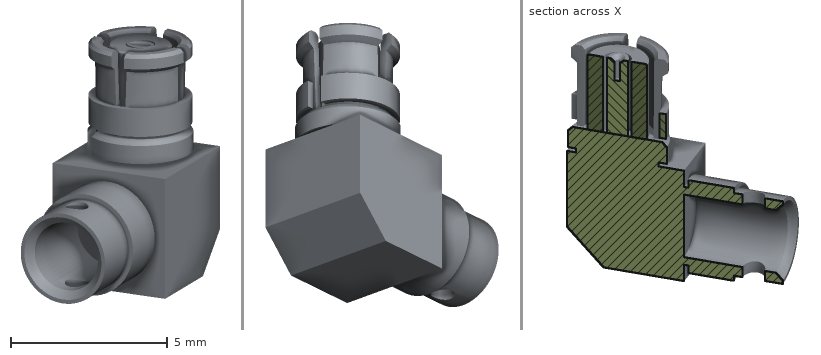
import cadquery as cq

TOTAL_LENGTH = 7.37

BLOCK_SIZE = 4.01
BLOCK_BACK = 1.72
BLOCK_FRONT = BLOCK_BACK - BLOCK_SIZE
BLOCK_CHAMFER = 1.26

JACK_TOP = 7.76
NECK_RADIUS = 1.42
FINGER_RADIUS = 1.45
FLANGE_RADIUS = 1.67
FLANGE_TOP_CHAMFER = 0.12
FLANGE_BOTTOM = 7.295
FLANGE_ROOT = 7.13
JACK_BORE_RADIUS = 1.2
BORE_CHAMFER = 0.12

SHOULDER_RADIUS = 1.7
SHOULDER_BOTTOM = 4.135
SHOULDER_TOP = 4.91
SHOULDER_CHAMFER = 0.17
NOTCH_WIDTH = 0.535
NOTCH_ANGLE = 221.0

BORE_FLOOR = SHOULDER_TOP
SLOT_TOP_WIDTH = 0.465
SLOT_FLOOR_WIDTH = 0.255

COLLAR_RADIUS = 1.67
COLLAR_BOTTOM = 5.04
COLLAR_TOP = 5.945
COLLAR_GAP = 0.54

BARREL_HEIGHT = BLOCK_SIZE / 2
BARREL_COLLAR_RADIUS = 1.69
BARREL_COLLAR_BACK = -2.41
BARREL_COLLAR_FRONT = -3.99
BARREL_RADIUS = 1.505
BARREL_END = BLOCK_BACK - TOTAL_LENGTH
BARREL_BORE_RADIUS = 1.125
BARREL_MOUTH_RADIUS = 1.37
CROSS_HOLE_RADIUS = 0.38
CROSS_HOLE_Y = -4.65

INSULATOR_RADIUS = 1.025
INSULATOR_TOP = 7.635
INSULATOR_CHAMFER = 0.055
INSULATOR_HOLE_RADIUS = 0.47

CONTACT_HALF_SIZES = (0.465, 0.365)
MOUTH_HALF_SIZES = (0.365, 0.24)
SOCKET_HALF_SIZES = (0.18, 0.085)
MOUTH_DEPTH = 0.12
SOCKET_DEPTH = 0.775


def revolve_about_z(points):
    """Solid of revolution from (radius, height) points."""
    return cq.Workplane("XZ").polyline(points).close().revolve(360, (0, 0), (0, 1))


def make_block():
    block = cq.Workplane("XY").box(BLOCK_SIZE, BLOCK_SIZE, BLOCK_SIZE)
    block = block.edges(">Y and <Z").chamfer(BLOCK_CHAMFER)
    return block.translate((0, (BLOCK_BACK + BLOCK_FRONT) / 2, BLOCK_SIZE / 2))


def finger_radius_at(height):
    """Outer radius of the fingers, which spread evenly from the neck to the flange."""
    spread = (height - BORE_FLOOR) / (FLANGE_ROOT - BORE_FLOOR)
    return NECK_RADIUS + spread * (FINGER_RADIUS - NECK_RADIUS)


def make_shoulder():
    shoulder = revolve_about_z([
        (0, SHOULDER_BOTTOM),
        (SHOULDER_RADIUS, SHOULDER_BOTTOM),
        (SHOULDER_RADIUS, SHOULDER_TOP - SHOULDER_CHAMFER),
        (SHOULDER_RADIUS - SHOULDER_CHAMFER, SHOULDER_TOP),
        (0, SHOULDER_TOP),
    ])
    notch = (
        cq.Workplane("XY", origin=(0, 0, SHOULDER_BOTTOM))
        .rect(SHOULDER_RADIUS * 2, NOTCH_WIDTH)
        .extrude(SHOULDER_TOP - SHOULDER_BOTTOM)
        .translate((SHOULDER_RADIUS, 0, 0))
        .rotate((0, 0, 0), (0, 0, 1), NOTCH_ANGLE)
    )
    return shoulder.cut(notch)


def make_jack():
    tube = revolve_about_z([
        (0, BLOCK_SIZE),
        (NECK_RADIUS, BLOCK_SIZE),
        (NECK_RADIUS, BORE_FLOOR),
        (FINGER_RADIUS, FLANGE_ROOT),
        (FLANGE_RADIUS, FLANGE_BOTTOM),
        (FLANGE_RADIUS, JACK_TOP - FLANGE_TOP_CHAMFER),
        (FLANGE_RADIUS - FLANGE_TOP_CHAMFER, JACK_TOP),
        (JACK_BORE_RADIUS + BORE_CHAMFER, JACK_TOP),
        (JACK_BORE_RADIUS, JACK_TOP - BORE_CHAMFER),
        (JACK_BORE_RADIUS, BORE_FLOOR),
        (0, BORE_FLOOR),
    ])
    slot = (
        cq.Workplane("XZ")
        .polyline([
            (-SLOT_FLOOR_WIDTH / 2, BORE_FLOOR),
            (SLOT_FLOOR_WIDTH / 2, BORE_FLOOR),
            (SLOT_TOP_WIDTH / 2, JACK_TOP),
            (-SLOT_TOP_WIDTH / 2, JACK_TOP),
        ])
        .close()
        .extrude(FLANGE_RADIUS, both=True)
    )
    for angle in (0, 90):
        tube = tube.cut(slot.rotate((0, 0, 0), (0, 0, 1), angle))
    return tube.union(make_shoulder())


def make_barrel():
    """Solid barrel with its bore and cross hole, built along Z and laid along -Y."""
    barrel = revolve_about_z([
        (0, -BLOCK_FRONT),
        (NECK_RADIUS, -BLOCK_FRONT),
        (NECK_RADIUS, -BARREL_COLLAR_BACK),
        (BARREL_COLLAR_RADIUS, -BARREL_COLLAR_BACK),
        (BARREL_COLLAR_RADIUS, -BARREL_COLLAR_FRONT),
        (BARREL_RADIUS, -BARREL_COLLAR_FRONT),
        (BARREL_RADIUS, -BARREL_END),
        (BARREL_MOUTH_RADIUS, -BARREL_END),
        (BARREL_BORE_RADIUS, -BARREL_END - (BARREL_MOUTH_RADIUS - BARREL_BORE_RADIUS)),
        (BARREL_BORE_RADIUS, -BLOCK_FRONT),
    ])
    barrel = barrel.rotate((0, 0, 0), (1, 0, 0), 90).translate((0, 0, BARREL_HEIGHT))
    cross_hole = (
        cq.Workplane("XY", origin=(0, CROSS_HOLE_Y, BARREL_HEIGHT))
        .circle(CROSS_HOLE_RADIUS)
        .extrude(BARREL_RADIUS, both=True)
    )
    return barrel.cut(cross_hole)


def make_housing():
    return make_block().union(make_jack()).union(make_barrel()).clean()


def make_collar():
    collar = revolve_about_z([
        (finger_radius_at(COLLAR_BOTTOM), COLLAR_BOTTOM),
        (COLLAR_RADIUS, COLLAR_BOTTOM),
        (COLLAR_RADIUS, COLLAR_TOP),
        (finger_radius_at(COLLAR_TOP), COLLAR_TOP),
    ])
    gap = (
        cq.Workplane("XY", origin=(0, COLLAR_RADIUS, COLLAR_BOTTOM))
        .rect(COLLAR_GAP, COLLAR_RADIUS * 2)
        .extrude(COLLAR_TOP - COLLAR_BOTTOM)
    )
    return collar.cut(gap)


def make_insulator():
    return revolve_about_z([
        (INSULATOR_HOLE_RADIUS, BORE_FLOOR),
        (INSULATOR_RADIUS, BORE_FLOOR),
        (INSULATOR_RADIUS, INSULATOR_TOP - INSULATOR_CHAMFER),
        (INSULATOR_RADIUS - INSULATOR_CHAMFER, INSULATOR_TOP),
        (INSULATOR_HOLE_RADIUS, INSULATOR_TOP),
    ])


def make_contact():
    contact = (
        cq.Workplane("XY", origin=(0, 0, BORE_FLOOR))
        .ellipse(*CONTACT_HALF_SIZES)
        .extrude(INSULATOR_TOP - BORE_FLOOR)
    )
    mouth = (
        cq.Workplane("XY", origin=(0, 0, INSULATOR_TOP))
        .ellipse(*MOUTH_HALF_SIZES)
        .workplane(offset=-MOUTH_DEPTH)
        .ellipse(*SOCKET_HALF_SIZES)
        .loft()
    )
    socket = (
        cq.Workplane("XY", origin=(0, 0, INSULATOR_TOP - SOCKET_DEPTH))
        .ellipse(*SOCKET_HALF_SIZES)
        .extrude(SOCKET_DEPTH - MOUTH_DEPTH)
    )
    return contact.cut(mouth).cut(socket)


housing = make_housing()
collar = make_collar()
insulator = make_insulator()
contact = make_contact()

result = cq.Compound.makeCompound([housing.val(), collar.val(), insulator.val(), contact.val()])